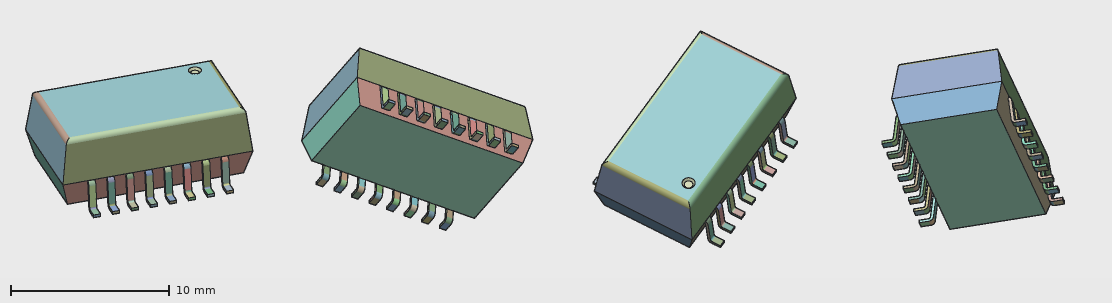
import cadquery as cq
import math

BODY_WIDTH = 7.21
BODY_LENGTH = 12.7
TOTAL_HEIGHT = 5.1
BODY_BOTTOM_Z = 0.34
PARTING_Z = 2.12
UPPER_TAPER = 7.2
LOWER_TAPER = 14.6
TOP_EDGE_RADIUS = 0.34

MARKER_X = -2.24
MARKER_Y = 4.5
MARKER_TOP_DIAMETER = 0.83
MARKER_FLOOR_DIAMETER = 0.55
MARKER_DEPTH = 0.15

LEAD_SPAN = 9.4
LEADS_PER_SIDE = 8
LEAD_PITCH = 1.27
LEAD_WIDTH = 0.47
LEAD_THICKNESS = 0.2
FOOT_LENGTH = 0.64
FOOT_INNER_RADIUS = 0.1
SHOULDER_OUTER_RADIUS = 0.45
SHOULDER_START_Z = 1.78
LEG_LEAN = 6.4


def make_body():
    upper = (
        cq.Workplane("XY", origin=(0, 0, PARTING_Z))
        .rect(BODY_WIDTH, BODY_LENGTH)
        .extrude(TOTAL_HEIGHT - PARTING_Z, taper=UPPER_TAPER)
        .faces(">Z")
        .edges()
        .fillet(TOP_EDGE_RADIUS)
    )
    lower = (
        cq.Workplane("XY", origin=(0, 0, PARTING_Z))
        .rect(BODY_WIDTH, BODY_LENGTH)
        .extrude(BODY_BOTTOM_Z - PARTING_Z, taper=LOWER_TAPER)
    )
    return upper.union(lower)


def make_marker():
    """Cone frustum that cuts the dimple."""
    return (
        cq.Workplane("XY", origin=(MARKER_X, MARKER_Y, TOTAL_HEIGHT))
        .circle(MARKER_TOP_DIAMETER / 2)
        .workplane(offset=-MARKER_DEPTH)
        .circle(MARKER_FLOOR_DIAMETER / 2)
        .loft(ruled=True)
    )


def on_circle(center, radius, degrees):
    angle = math.radians(degrees)
    return (center[0] + radius * math.cos(angle), center[1] + radius * math.sin(angle))


def make_lead():
    """Lead on the -X side, centred on Y = 0, with its shoulder ending inside the body."""
    tip_x = -LEAD_SPAN / 2
    foot_outer_radius = FOOT_INNER_RADIUS + LEAD_THICKNESS
    shoulder_inner_radius = SHOULDER_OUTER_RADIUS - LEAD_THICKNESS

    foot_center = (tip_x + FOOT_LENGTH, foot_outer_radius)
    foot_end = -LEG_LEAN
    foot_middle = (foot_end - 90) / 2

    leg_start = on_circle(foot_center, FOOT_INNER_RADIUS, foot_end)
    leg_rise = SHOULDER_START_Z - leg_start[1]
    leg_top = (leg_start[0] + leg_rise * math.tan(math.radians(LEG_LEAN)), SHOULDER_START_Z)
    shoulder_start = 180 - LEG_LEAN
    shoulder_middle = (shoulder_start + 90) / 2
    shoulder_center = on_circle(leg_top, SHOULDER_OUTER_RADIUS, foot_end)

    return (
        cq.Workplane("XZ")
        .moveTo(tip_x, LEAD_THICKNESS)
        .lineTo(foot_center[0], LEAD_THICKNESS)
        .threePointArc(on_circle(foot_center, FOOT_INNER_RADIUS, foot_middle), leg_start)
        .lineTo(*leg_top)
        .threePointArc(
            on_circle(shoulder_center, SHOULDER_OUTER_RADIUS, shoulder_middle),
            on_circle(shoulder_center, SHOULDER_OUTER_RADIUS, 90),
        )
        .lineTo(*on_circle(shoulder_center, shoulder_inner_radius, 90))
        .threePointArc(
            on_circle(shoulder_center, shoulder_inner_radius, shoulder_middle),
            on_circle(shoulder_center, shoulder_inner_radius, shoulder_start),
        )
        .lineTo(*on_circle(foot_center, foot_outer_radius, foot_end))
        .threePointArc(
            on_circle(foot_center, foot_outer_radius, foot_middle),
            (foot_center[0], 0),
        )
        .lineTo(tip_x, 0)
        .close()
        .extrude(LEAD_WIDTH / 2, both=True)
    )


result = make_body().cut(make_marker())

left_lead = make_lead()
right_lead = left_lead.mirror("YZ")
for index in range(LEADS_PER_SIDE):
    lead_y = (index - (LEADS_PER_SIDE - 1) / 2) * LEAD_PITCH
    result = result.union(left_lead.translate((0, lead_y, 0)))
    result = result.union(right_lead.translate((0, lead_y, 0)))